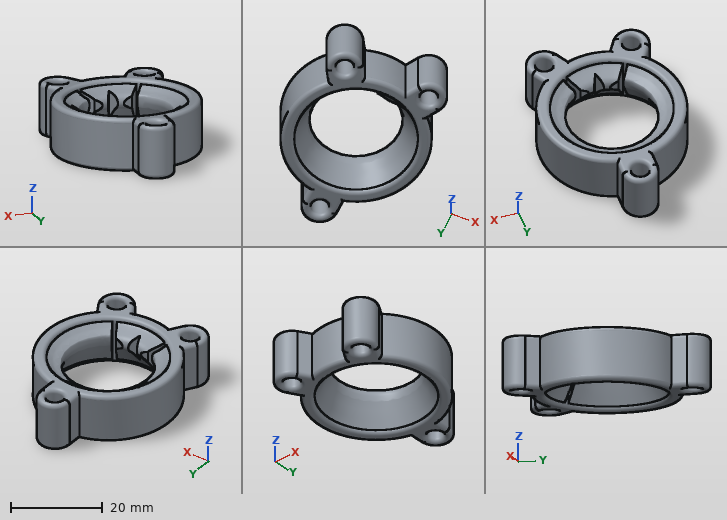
import cadquery as cq
import math

height = 12.0
ring_outer_radius = 33.0 / 2
ring_bore_radius = 13.5
edge_round = 1.0

lug_hole_radius = 4.0 / 2
lug_radius = 2 * lug_hole_radius
lug_end_round = (lug_radius - lug_hole_radius) / 2
lug_crown_radius = lug_hole_radius + lug_end_round
arm_width = 8.1
arm_root_radius = 14.75
back_lug_y = 19.5
front_lug_x = 10.0
front_lug_y = 16.5
lug_centres = [(0, back_lug_y), (-front_lug_x, -front_lug_y), (front_lug_x, -front_lug_y)]

liner_top_depth = edge_round
liner_bottom_depth = height - edge_round
main_lip_points = [(12.42, 1.7), (11.4, 2.2), (10.45, 2.6), (10.18, 3.25), (10.55, 5.5)]
tongue_lip_points = [(11.4, 1.9), (9.2, 3.05), (8.95, 3.65), (9.7, 5.5)]

slot_half_angle = 33.0
slot_width = 1.0
tongue_flat_y = -8.55
notch_tip_y = -11.5
notch_half_width = 1.15
notch_mouth_y = -8.85
notch_overcut = 2


def bore_cutter():
    """Cutting tool for the ring bore, its two mouths rounded outwards."""
    mouth_radius = ring_bore_radius + edge_round
    arc_inset = edge_round * (1 - math.sqrt(0.5))
    arc_mid_radius = ring_bore_radius + arc_inset
    return (
        cq.Workplane("XZ")
        .lineTo(mouth_radius, 0)
        .threePointArc((arc_mid_radius, arc_inset), (ring_bore_radius, edge_round))
        .lineTo(ring_bore_radius, height - edge_round)
        .threePointArc((arc_mid_radius, height - arc_inset), (mouth_radius, height))
        .lineTo(0, height)
        .close()
        .revolve(360, (0, 0), (0, 1))
    )


def eyelet():
    """Lug tube whose wall ends in a full round at both faces."""
    return (
        cq.Workplane("XZ")
        .moveTo(lug_hole_radius, lug_end_round)
        .threePointArc((lug_crown_radius, 0), (lug_radius, lug_end_round))
        .lineTo(lug_radius, height - lug_end_round)
        .threePointArc((lug_crown_radius, height), (lug_hole_radius, height - lug_end_round))
        .close()
        .revolve(360, (0, 0), (0, 1))
    )


def arm(centre):
    """Straight arm from the ring wall to the lug centre, long edges rounded."""
    x, y = centre
    length = math.hypot(x, y) - arm_root_radius
    return (
        cq.Workplane("XY")
        .box(length, arm_width, height, centered=(False, True, False))
        .edges("|X")
        .fillet(edge_round)
        .translate((arm_root_radius, 0, 0))
        .rotate((0, 0, 0), (0, 0, 1), math.degrees(math.atan2(y, x)))
    )


def make_housing():
    housing = cq.Workplane("XY").circle(ring_outer_radius).extrude(height).edges().fillet(edge_round)
    for centre in lug_centres:
        housing = housing.union(arm(centre))
    housing = housing.cut(bore_cutter())
    for x, y in lug_centres:
        seat = cq.Workplane("XY").center(x, y).circle(lug_crown_radius).extrude(height)
        housing = housing.cut(seat).union(eyelet().translate((x, y, 0)))
    return housing


def lip_sector(lip_points, sweep, direction):
    """Lip section swept about Z, its middle facing the given direction in degrees from +X."""
    return (
        cq.Workplane("XZ")
        .moveTo(ring_bore_radius, height - liner_top_depth)
        .spline([(radius, height - depth) for radius, depth in lip_points], includeCurrent=True)
        .lineTo(ring_bore_radius, height - liner_bottom_depth)
        .close()
        .revolve(sweep, (0, 0), (0, 1))
        .rotate((0, 0, 0), (0, 0, 1), direction - sweep / 2)
    )


def make_main_liner():
    return lip_sector(main_lip_points, 360 - 2 * slot_half_angle, 90)


def tongue_notch():
    """V notch, its sides carried past the tip of the tongue."""
    half_width = notch_overcut * notch_half_width
    open_y = notch_tip_y + notch_overcut * (notch_mouth_y - notch_tip_y)
    return (
        cq.Workplane("XY")
        .polyline([(0, notch_tip_y), (half_width, open_y), (-half_width, open_y)])
        .close()
        .extrude(height)
    )


def slot_cutter():
    """Slab that clears the gap along the +X end face of the main liner."""
    return (
        cq.Workplane("XY")
        .box(slot_width, ring_outer_radius, height, centered=False)
        .translate((-slot_width, -ring_outer_radius, 0))
        .rotate((0, 0, 0), (0, 0, 1), slot_half_angle)
    )


def make_tongue():
    tongue = lip_sector(tongue_lip_points, 2 * slot_half_angle, -90)
    beyond_flat = (
        cq.Workplane("XY")
        .box(2 * ring_outer_radius, ring_outer_radius, height, centered=(True, False, False))
        .translate((0, tongue_flat_y, 0))
    )
    slot = slot_cutter()
    return tongue.cut(slot).cut(slot.mirror("YZ")).cut(beyond_flat).cut(tongue_notch())


housing = make_housing()
main_liner = make_main_liner()
tongue = make_tongue()

result = cq.Compound.makeCompound([housing.val(), main_liner.val(), tongue.val()])